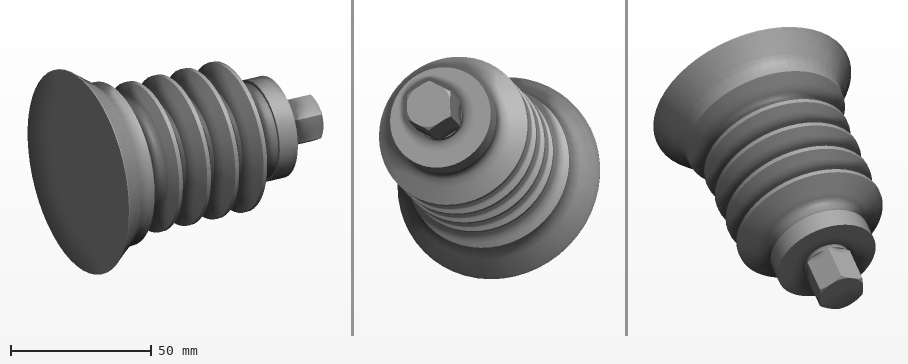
import cadquery as cq
import math

total_length = 95.5

lip_radius = 75.0 / 2
lip_thickness = 0.3
skirt_radius = 60.0 / 2
skirt_arc_radius = 9.8
skirt_arc_end = 13.75
skirt_arc_start = 8.0
skirt_top = 14.6

neck_radius = 21.7
neck_arc_radius = 2.9
neck_center = 21.0

ridge_radius = 55.0 / 2
valley_radius = 39.0 / 2
band_width = 1.5
fold_count = 4
fold_pitch = 11.5
first_ridge = 26.7
flank_angle = math.radians(60)

sleeve_radius = 35.0 / 2
sleeve_arc_radius = 3.1
sleeve_arc_end = 68.9
flange_radius = 37.2 / 2
flange_bottom = 71.9
flange_top = 79.3
collar_radius = 17.0 / 2
collar_top = 80.9

hex_across_flats = 16.0
hex_corner_radius = hex_across_flats / math.sqrt(3)
hex_end_radius = 8.1
hex_end_chamfer = 0.8
hex_base_chamfer = 0.5


def arc_between_tangents(profile, center, radius, start_angle, end_angle):
    """Add an arc, given its center, radius and end directions in radians."""
    def point(angle):
        return (center[0] + radius * math.cos(angle), center[1] + radius * math.sin(angle))

    middle_angle = (start_angle + end_angle) / 2
    return profile.lineTo(*point(start_angle)).threePointArc(point(middle_angle), point(end_angle))


def revolve_about_y(profile):
    return profile.close().revolve(360, (0, 0, 0), (0, 1, 0))


def make_body():
    profile = cq.Workplane("XY").lineTo(lip_radius, 0).lineTo(lip_radius, lip_thickness)

    skirt_sweep = math.asin((skirt_arc_end - skirt_arc_start) / skirt_arc_radius)
    skirt_arc_center = (skirt_radius + skirt_arc_radius, skirt_arc_end)
    profile = arc_between_tangents(
        profile, skirt_arc_center, skirt_arc_radius, math.pi + skirt_sweep, math.pi)
    profile = profile.lineTo(skirt_radius, skirt_top)

    neck_arc_center = (neck_radius + neck_arc_radius, neck_center)
    profile = arc_between_tangents(
        profile, neck_arc_center, neck_arc_radius, math.pi + flank_angle, math.pi - flank_angle)

    for fold in range(fold_count):
        ridge = first_ridge + fold * fold_pitch
        profile = profile.lineTo(ridge_radius, ridge - band_width / 2)
        profile = profile.lineTo(ridge_radius, ridge + band_width / 2)
        if fold < fold_count - 1:
            valley = ridge + fold_pitch / 2
            profile = profile.lineTo(valley_radius, valley - band_width / 2)
            profile = profile.lineTo(valley_radius, valley + band_width / 2)

    sleeve_arc_center = (sleeve_radius + sleeve_arc_radius, sleeve_arc_end)
    profile = arc_between_tangents(
        profile, sleeve_arc_center, sleeve_arc_radius, math.pi + flank_angle, math.pi)
    profile = (
        profile
        .lineTo(sleeve_radius, flange_bottom)
        .lineTo(flange_radius, flange_bottom)
        .lineTo(flange_radius, flange_top)
        .lineTo(collar_radius, flange_top)
        .lineTo(collar_radius, collar_top)
        .lineTo(0, collar_top)
    )
    return revolve_about_y(profile)


def make_hex_fitting():
    corners = [
        (hex_corner_radius * math.sin(side * math.pi / 3),
         hex_corner_radius * math.cos(side * math.pi / 3))
        for side in range(6)
    ]
    prism = (
        cq.Workplane("XZ", origin=(0, collar_top, 0))
        .polyline(corners)
        .close()
        .extrude(collar_top - total_length)
    )
    envelope = (
        cq.Workplane("XY")
        .moveTo(0, collar_top)
        .lineTo(collar_radius, collar_top)
        .lineTo(hex_corner_radius, collar_top + hex_base_chamfer)
        .lineTo(hex_corner_radius, total_length - hex_end_chamfer)
        .lineTo(hex_end_radius, total_length)
        .lineTo(0, total_length)
    )
    return prism.intersect(revolve_about_y(envelope))


result = make_body().union(make_hex_fitting())